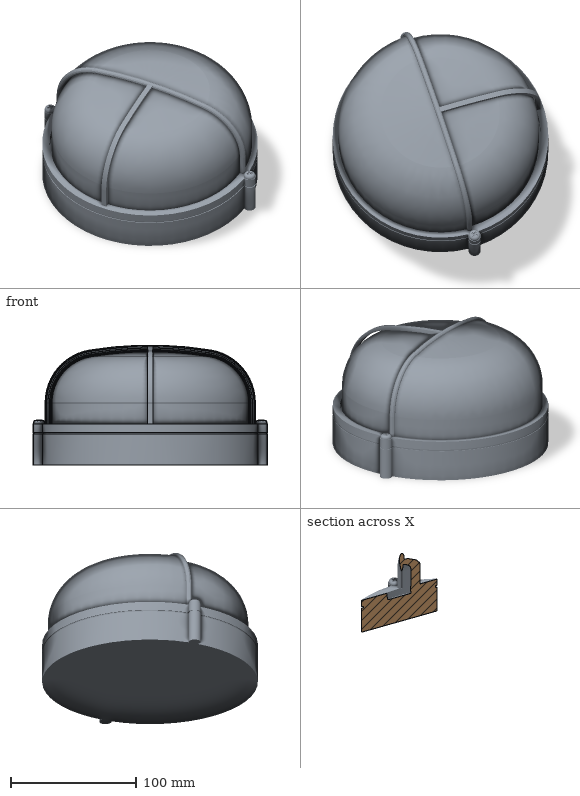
import cadquery as cq
import math

body_radius = 86.0
base_height = 24.7
seam_height = 1.1
seam_inset = 0.5
seam_top = base_height + seam_height
rim_top = 32.7
rim_opening_radius = 80.0

shield_radius = 81.5
shield_apex = 93.3
shield_thickness = shield_radius - rim_opening_radius
shoulder_radius = 40.4
shoulder_height = 49.5
glass_radius = 78.5

wire_radius = 2.2
wire_sides = 12
wire_y = 2.0
rib_width = 4.1
rib_thickness = 3.0
rib_overlap = wire_y / 2

post_radius = 4.9
post_x = 93.5 - post_radius
head_radius = 4.5
head_height = 3.0
head_top = rim_top + head_height
head_rounding = 2.2
recess_length = 4.9
recess_width = 1.5
recess_depth = 1.5
recess_angles = (45, 135)
sides = (-1, 1)

shoulder_x = shield_radius - shoulder_radius
crown_rise = shield_apex - shoulder_height - shoulder_radius
crown_drop = (shoulder_x**2 - crown_rise**2) / (2 * crown_rise)
crown_center_z = shoulder_height - crown_drop
crown_angle = math.atan2(shoulder_x, crown_drop)
shoulder_middle_angle = (math.pi / 2 + crown_angle) / 2


def shoulder_point(offset, angle):
    """Point on the shoulder arc, with the angle measured from vertical."""
    radius = shoulder_radius + offset
    return (
        shoulder_x + radius * math.sin(angle),
        shoulder_height + radius * math.cos(angle),
    )


def crown_point(offset, angle):
    """Point on the crown arc, with the angle measured from vertical."""
    radius = shield_apex + offset - crown_center_z
    return (radius * math.sin(angle), crown_center_z + radius * math.cos(angle))


def half_outline(offset, bottom, overlap=0):
    """Closed half profile under a dome, carried past the axis by the overlap."""
    wall = shield_radius + offset
    apex = shield_apex + offset
    outline = (
        cq.Workplane("XZ")
        .moveTo(-overlap, bottom)
        .lineTo(wall, bottom)
        .lineTo(wall, shoulder_height)
        .threePointArc(shoulder_point(offset, shoulder_middle_angle), shoulder_point(offset, crown_angle))
        .threePointArc(crown_point(offset, crown_angle / 2), (0, apex))
    )
    if overlap:
        outline = outline.lineTo(-overlap, apex)
    return outline.close()


def dome_solid(offset, bottom):
    """Solid dome at this offset from the shield's outer face."""
    return half_outline(offset, bottom).revolve(360, (0, 0, 0), (0, 1, 0))


def disk(radius, bottom, top):
    """Upright cylinder on the lamp's axis."""
    return cq.Workplane("XY").workplane(offset=bottom).circle(radius).extrude(top - bottom)


def body_layer(inset, bottom, top):
    """Slice of the round body with its two posts, drawn in by the inset."""
    layer = disk(body_radius - inset, bottom, top)
    for side in sides:
        layer = layer.union(disk(post_radius - inset, bottom, top).translate((side * post_x, 0, 0)))
    return layer


def housing():
    base = body_layer(0, 0, base_height)
    seam = body_layer(seam_inset, base_height, seam_top)
    rim = body_layer(0, seam_top, rim_top).cut(disk(rim_opening_radius, seam_top, rim_top))
    return base.union(seam).union(rim)


def glass():
    """Front dome, standing in the rim opening with a narrow gap around it."""
    return dome_solid(glass_radius - shield_radius, base_height)


def shield():
    """Thin half dome that covers the back of the glass."""
    shell = dome_solid(0, rim_top).cut(dome_solid(-shield_thickness, rim_top))
    back_half = (
        cq.Workplane("XY")
        .box(2 * body_radius, body_radius, shield_apex, centered=(True, False, False))
        .translate((0, wire_y, rim_top))
    )
    return shell.intersect(back_half)


def edge_wire():
    """Faceted wire bent along the front edge of the shield, with flats facing outward."""
    shoulder_middle = shoulder_point(0, shoulder_middle_angle)
    crown_edge = shoulder_point(0, crown_angle)

    def mirrored(point):
        return (-point[0], point[1])

    path = (
        cq.Workplane("XZ", origin=(0, wire_y, 0))
        .moveTo(-shield_radius, rim_top)
        .lineTo(-shield_radius, shoulder_height)
        .threePointArc(mirrored(shoulder_middle), mirrored(crown_edge))
        .threePointArc((0, shield_apex), crown_edge)
        .threePointArc(shoulder_middle, (shield_radius, shoulder_height))
        .lineTo(shield_radius, rim_top)
    )
    section = (
        cq.Workplane("XY", origin=(-shield_radius, wire_y, rim_top))
        .transformed(rotate=(0, 0, 180 / wire_sides))
        .polygon(wire_sides, 2 * wire_radius, circumscribed=True)
    )
    return section.sweep(path)


def front_rib():
    """Flat strip bent over the front of the glass, its inner end buried in the wire."""
    outer = half_outline(rib_thickness - shield_thickness, rim_top, rib_overlap)
    inner = half_outline(-shield_thickness, rim_top, rib_overlap)
    strip = outer.extrude(rib_width / 2, both=True).cut(inner.extrude(rib_width / 2, both=True))
    return strip.rotate((0, 0, 0), (0, 0, 1), -90)


def screw_head():
    """Rounded screw head with a diagonal cross recess."""
    head = disk(head_radius, rim_top, head_top).faces(">Z").edges().fillet(head_rounding)
    for angle in recess_angles:
        slot = (
            cq.Workplane("XY")
            .workplane(offset=head_top - recess_depth)
            .transformed(rotate=(0, 0, angle))
            .rect(recess_length, recess_width)
            .extrude(recess_depth)
        )
        head = head.cut(slot)
    return head


result = housing().union(glass()).union(shield()).union(edge_wire()).union(front_rib())
for side in sides:
    result = result.union(screw_head().translate((side * post_x, 0, 0)))